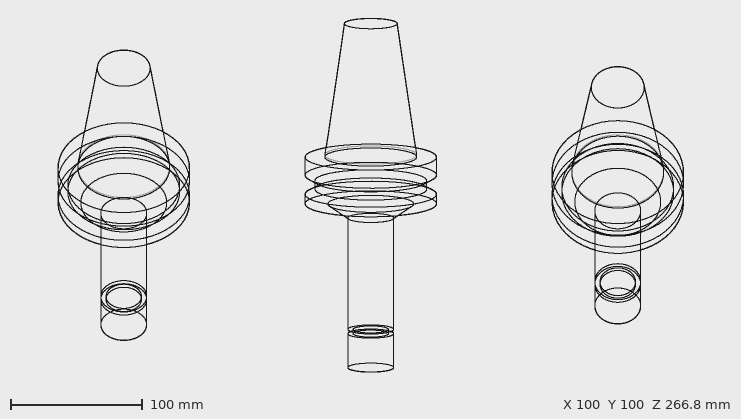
import cadquery as cq

total_height = 266.8
flange_diameter = 100.0
groove_diameter = 85.0
taper_large_diameter = 70.0
taper_small_diameter = 40.3
collar_large_diameter = 65.4
shank_diameter = 35.0
neck_diameter = 27.0

nut_height = 26.5
neck_length = 3.2
collar_bottom = 116.0
flange_bottom = 127.0
gauge_plane = 165.0

taper_land_height = 1.5
lower_rim_height = 7.5
groove_lower_slope_height = 4.0
groove_floor_height = 6.5
groove_upper_slope_height = 4.3

shank_bottom = nut_height + neck_length
flange_top = gauge_plane - taper_land_height
groove_bottom = flange_bottom + lower_rim_height
groove_floor_bottom = groove_bottom + groove_lower_slope_height
groove_floor_top = groove_floor_bottom + groove_floor_height
groove_top = groove_floor_top + groove_upper_slope_height


def cylinder(diameter, bottom, top):
    return cq.Workplane("XY").workplane(offset=bottom).circle(diameter / 2).extrude(top - bottom)


def cone(bottom_diameter, top_diameter, bottom, top):
    solid = cq.Solid.makeCone(
        bottom_diameter / 2,
        top_diameter / 2,
        top - bottom,
        pnt=cq.Vector(0, 0, bottom),
    )
    return cq.Workplane(solid)


def make_flange():
    """Two rims joined across a groove with sloped sides."""
    lower_rim = cylinder(flange_diameter, flange_bottom, groove_bottom)
    lower_slope = cone(flange_diameter, groove_diameter, groove_bottom, groove_floor_bottom)
    groove_floor = cylinder(groove_diameter, groove_floor_bottom, groove_floor_top)
    upper_slope = cone(groove_diameter, flange_diameter, groove_floor_top, groove_top)
    upper_rim = cylinder(flange_diameter, groove_top, flange_top)
    return lower_rim.union(lower_slope).union(groove_floor).union(upper_slope).union(upper_rim)


def make_holder():
    """Tool holder: neck, shank, conical collar, flange and spindle taper."""
    neck = cylinder(neck_diameter, nut_height, shank_bottom)
    shank = cylinder(shank_diameter, shank_bottom, collar_bottom)
    collar = cone(shank_diameter, collar_large_diameter, collar_bottom, flange_bottom)
    taper_land = cylinder(taper_large_diameter, flange_top, gauge_plane)
    taper = cone(taper_large_diameter, taper_small_diameter, gauge_plane, total_height)
    holder = neck.union(shank).union(collar).union(make_flange())
    return holder.union(taper_land).union(taper)


def make_nut():
    """Plain cylindrical nut that closes the lower end of the holder."""
    return cylinder(shank_diameter, 0, nut_height)


holder = make_holder()
nut = make_nut()

result = cq.Compound.makeCompound([holder.solids().val(), nut.val()])